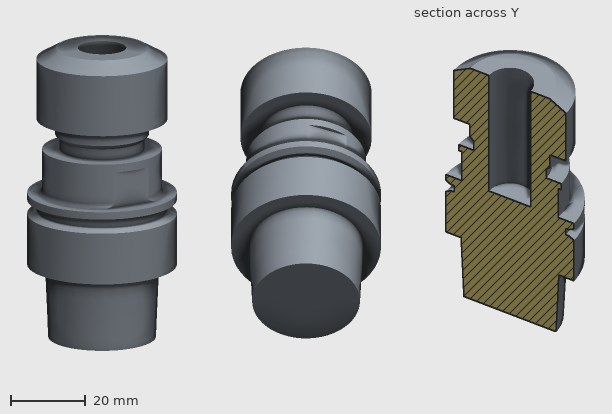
import cadquery as cq
import math

total_height = 80.0
shank_height = 20.0
flange_top = 40.0
collar_top = 52.1
neck_chamfer_bottom = 55.0
nut_bottom = 60.4

shank_end_radius = 14.4
shank_top_radius = 15.3
flange_radius = 20.0
groove_radius = 17.4
groove_ledge_radius = 18.4
collar_radius = 16.0
relief_radius = 11.4
neck_radius = 12.6
nut_radius = 17.5
nut_face_radius = 12.3
bore_radius = 6.5

rim_thickness = 2.0
groove_floor_height = 2.0
groove_flank_height = 1.0

collar_fillet = 1.1
neck_chamfer = neck_radius - relief_radius
nut_cone_height = 3.0
bore_depth = 40.0

flat_distance = 15.0
flat_top = 49.8


def make_body():
    """Revolve the half profile of the holder and its clamping nut."""
    groove_top = flange_top - rim_thickness
    groove_floor_top = groove_top - groove_flank_height
    groove_floor_bottom = groove_floor_top - groove_floor_height
    groove_bottom = groove_floor_bottom - groove_flank_height

    arc_inset = collar_fillet * (1 - math.sqrt(0.5))
    fillet_middle = (collar_radius + arc_inset, flange_top + arc_inset)

    profile = (
        cq.Workplane("XZ")
        .lineTo(shank_end_radius, 0)
        .lineTo(shank_top_radius, shank_height)
        .lineTo(flange_radius, shank_height)
        .lineTo(flange_radius, groove_bottom)
        .lineTo(groove_ledge_radius, groove_floor_bottom)
        .lineTo(groove_radius, groove_floor_bottom)
        .lineTo(groove_radius, groove_floor_top)
        .lineTo(groove_ledge_radius, groove_floor_top)
        .lineTo(flange_radius, groove_top)
        .lineTo(flange_radius, flange_top)
        .lineTo(collar_radius + collar_fillet, flange_top)
        .threePointArc(fillet_middle, (collar_radius, flange_top + collar_fillet))
        .lineTo(collar_radius, collar_top)
        .lineTo(relief_radius, collar_top)
        .lineTo(relief_radius, neck_chamfer_bottom)
        .lineTo(neck_radius, neck_chamfer_bottom + neck_chamfer)
        .lineTo(neck_radius, nut_bottom)
        .lineTo(nut_radius, nut_bottom)
        .lineTo(nut_radius, total_height - nut_cone_height)
        .lineTo(nut_face_radius, total_height)
        .lineTo(0, total_height)
        .close()
    )
    return profile.revolve(360, (0, 0, 0), (0, 1, 0))


def make_flat_cutter(side):
    """Block that removes one wrench flat on the -X (side = -1) or +X (side = 1) side."""
    block_depth = flange_radius - flat_distance
    return cq.Workplane("XY").box(
        block_depth, 2 * flange_radius, flat_top - flange_top, centered=(True, True, False)
    ).translate((side * (flat_distance + block_depth / 2), 0, flange_top))


def make_bore():
    """Blind collet bore, open at the nut face."""
    return (
        cq.Workplane("XY")
        .workplane(offset=total_height - bore_depth)
        .circle(bore_radius)
        .extrude(bore_depth)
    )


result = make_body().cut(make_bore())
for side in (-1, 1):
    result = result.cut(make_flat_cutter(side))